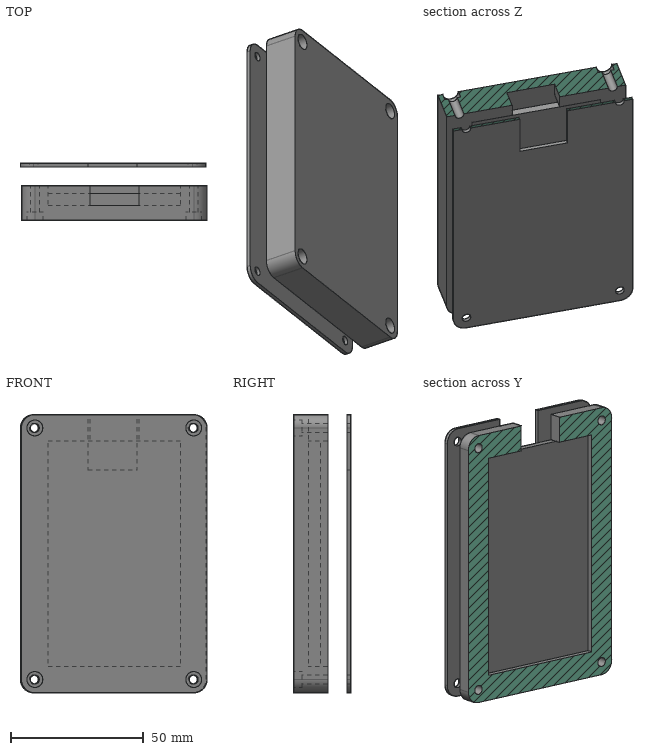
import cadquery as cq

case_width = 70.0
case_height = 105.0
corner_radius = 5.0

overall_depth = 21.5
tray_depth = 13.0
plate_thickness = 1.5
plate_front_y = overall_depth - plate_thickness

plate_shift_x = -0.4

screw_hole_diameter = 3.4
screw_head_diameter = 6.0
screw_head_depth = 3.2
screw_inset = 5.0
screw_spacing_x = case_width - 2 * screw_inset
screw_spacing_z = case_height - 2 * screw_inset

tray_wall = 10.0
cavity_depth = 7.5
lid_thickness = 2.8
cavity_width = case_width - 2 * tray_wall
cavity_height = case_height - 2 * tray_wall
cavity_floor_y = tray_depth - cavity_depth

notch_width = 18.5
tray_notch_center_x = 0.1
plate_notch_center_x = -0.2
plate_notch_depth = 21.0


def block(width, height, front_y, depth):
    """Box centred on X and Z whose front face lies at front_y."""
    body = cq.Workplane("XY").box(width, depth, height, centered=(True, False, True))
    return body.translate((0, front_y, 0))


def rounded_slab(front_y, depth):
    """Slab with the case outline and round corners."""
    return block(case_width, case_height, front_y, depth).edges("|Y").fillet(corner_radius)


def screw_cylinders(diameter, front_y, depth):
    """Four cylinders along Y at the screw places."""
    return (
        cq.Workplane("XZ", origin=(0, front_y, 0))
        .rect(screw_spacing_x, screw_spacing_z, forConstruction=True)
        .vertices()
        .circle(diameter / 2)
        .extrude(-depth)
    )


def top_notch(center_x, notch_depth, front_y, depth):
    """Cutter that opens the top edge downwards by notch_depth."""
    center_z = (case_height - notch_depth) / 2
    return block(notch_width, notch_depth, front_y, depth).translate((center_x, 0, center_z))


def make_tray():
    """Housing with counterbored screw holes, a cavity and a notch through its top wall."""
    body = rounded_slab(0, tray_depth)
    body = body.cut(screw_cylinders(screw_hole_diameter, 0, tray_depth))
    body = body.cut(screw_cylinders(screw_head_diameter, 0, screw_head_depth))
    body = body.cut(block(cavity_width, cavity_height, cavity_floor_y, cavity_depth))
    return body.cut(top_notch(tray_notch_center_x, tray_wall, cavity_floor_y, cavity_depth))


def make_lid():
    """Flat lid that fills the mouth of the cavity."""
    return block(cavity_width, cavity_height, tray_depth - lid_thickness, lid_thickness)


def make_plate():
    """Separate cover plate behind the tray, with screw holes and a notch in its top edge."""
    body = rounded_slab(plate_front_y, plate_thickness)
    body = body.cut(screw_cylinders(screw_hole_diameter, plate_front_y, plate_thickness))
    body = body.cut(top_notch(plate_notch_center_x, plate_notch_depth, plate_front_y, plate_thickness))
    return body.translate((plate_shift_x, 0, 0))


tray = make_tray()
lid = make_lid()
plate = make_plate()

result = cq.Compound.makeCompound([tray.val(), lid.val(), plate.val()])